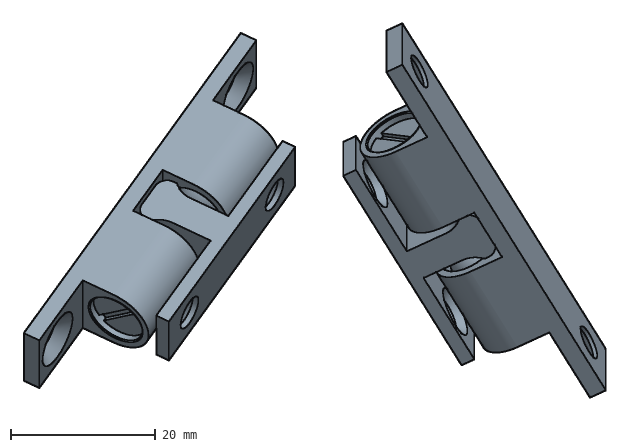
import cadquery as cq

PLATE_LENGTH = 59.8
PLATE_THICKNESS = 2.5
HEIGHT = 11.2
BARREL_RADIUS = HEIGHT / 2
BARREL_AXIS_X = 7.5
BORE_AXIS_X = 7.8
BARREL_INNER_Y = 4.05
BARREL_OUTER_Y = 17.95
BORE_CHAMFER = 0.2
HOUSING_HOLE_Y = 24.9
HOUSING_HOLE_RADIUS = 2.45
HOUSING_SINK_RADIUS = 4.1
HOUSING_SINK_DEPTH = 1.9

SHANK_RADIUS = 4.2
SHANK_RECESS = 1.15
BALL_RADIUS = 3.6
BALL_PROJECTION = 1.3
BALL_Y = BARREL_INNER_Y - BALL_PROJECTION + BALL_RADIUS
SHANK_OUTER_Y = BARREL_OUTER_Y - SHANK_RECESS
SLOT_WIDTH = 1.1
SLOT_DEPTH = 0.6
SLOT_ANGLE = 45.0

STRIKE_BACK_X = 16.0
FLANGE_THICKNESS = 2.05
FLANGE_FRONT_X = STRIKE_BACK_X - FLANGE_THICKNESS
FLANGE_LENGTH = 34.8
STRIKE_HEIGHT = 9.15
TONGUE_WIDTH = 4.9
BULB_WIDTH = 7.4
BULB_ROUNDING = 1.85
BULB_CLEARANCE = 0.1
BULB_TIP_X = PLATE_THICKNESS + BULB_CLEARANCE
GROOVE_RADIUS = 3.8
GROOVE_AXIS_X = 7.9
GROOVE_Y = TONGUE_WIDTH / 2 + GROOVE_RADIUS
STRIKE_HOLE_Y = 11.7
STRIKE_HOLE_RADIUS = 2.45
STRIKE_SINK_RADIUS = 3.6
STRIKE_SINK_DEPTH = 1.15

SIDES = (-1, 1)


def block(x_start, x_end, width, height):
    """Box between two X positions, centred on Y and Z."""
    length = x_end - x_start
    return cq.Workplane("XY").box(length, width, height).translate((x_start + length / 2, 0, 0))


def cylinder_along_y(axis_x, radius, y_start, y_end):
    """Cylinder parallel to Y at Z = 0."""
    axis_start = cq.Vector(axis_x, y_start, 0)
    return cq.Workplane(cq.Solid.makeCylinder(radius, y_end - y_start, axis_start, cq.Vector(0, 1, 0)))


def on_side(body, side):
    """Keep a body built at +Y, or mirror it to -Y."""
    return body if side > 0 else body.mirror("XZ")


def countersunk_hole(y, x_start, x_end, radius, sink_x, sink_radius, sink_depth):
    """Cutter for a hole along X with a cone that is widest at sink_x."""
    axis = cq.Vector(1, 0, 0)
    hole = cq.Solid.makeCylinder(radius, x_end - x_start, cq.Vector(x_start, y, 0), axis)
    inward = axis if sink_x == x_start else -axis
    sink = cq.Solid.makeCone(sink_radius, radius, sink_depth, cq.Vector(sink_x, y, 0), inward)
    return cq.Workplane(hole).union(cq.Workplane(sink))


def make_plunger(side):
    """Shank with a hemispherical inner end and a screwdriver slot outside."""
    shank = cylinder_along_y(BORE_AXIS_X, SHANK_RADIUS, BALL_Y, SHANK_OUTER_Y)
    ball = cq.Workplane("XY").sphere(BALL_RADIUS).translate((BORE_AXIS_X, BALL_Y, 0))
    slot = (
        cq.Workplane("XY")
        .box(2 * SHANK_RADIUS, 2 * SLOT_DEPTH, SLOT_WIDTH)
        .rotate((0, 0, 0), (0, 1, 0), -SLOT_ANGLE)
        .translate((BORE_AXIS_X, SHANK_OUTER_Y, 0))
    )
    return on_side(shank.union(ball).cut(slot), side)


def make_barrel(side):
    """Barrel with a rounded back, bored through for its plunger."""
    length = BARREL_OUTER_Y - BARREL_INNER_Y
    middle_y = BARREL_INNER_Y + length / 2
    web = block(0, BARREL_AXIS_X, length, HEIGHT).translate((0, middle_y, 0))
    barrel = web.union(cylinder_along_y(BARREL_AXIS_X, BARREL_RADIUS, BARREL_INNER_Y, BARREL_OUTER_Y))
    bore = cylinder_along_y(BORE_AXIS_X, SHANK_RADIUS, BARREL_INNER_Y, BARREL_OUTER_Y)
    chamfer = cq.Workplane(cq.Solid.makeCone(
        SHANK_RADIUS + BORE_CHAMFER,
        SHANK_RADIUS,
        BORE_CHAMFER,
        cq.Vector(BORE_AXIS_X, BARREL_OUTER_Y, 0),
        cq.Vector(0, -1, 0),
    ))
    return on_side(barrel.cut(bore).cut(chamfer), side)


def make_housing():
    """Plate with two barrels and two holes countersunk from the barrel side."""
    housing = block(0, PLATE_THICKNESS, PLATE_LENGTH, HEIGHT)
    for side in SIDES:
        housing = housing.union(make_barrel(side))
        housing = housing.cut(countersunk_hole(
            side * HOUSING_HOLE_Y, 0, PLATE_THICKNESS, HOUSING_HOLE_RADIUS,
            PLATE_THICKNESS, HOUSING_SINK_RADIUS, HOUSING_SINK_DEPTH,
        ))
    return housing


def make_strike():
    """Flange and tongue, the bulb necked by grooves that clear the balls."""
    bulb = block(BULB_TIP_X, GROOVE_AXIS_X, BULB_WIDTH, STRIKE_HEIGHT)
    bulb = bulb.edges("|Z and <X").fillet(BULB_ROUNDING)
    for side in SIDES:
        groove = (
            cq.Workplane("XY")
            .circle(GROOVE_RADIUS)
            .extrude(STRIKE_HEIGHT / 2, both=True)
            .translate((GROOVE_AXIS_X, side * GROOVE_Y, 0))
        )
        bulb = bulb.cut(groove)
    tongue = block(GROOVE_AXIS_X - BULB_ROUNDING, FLANGE_FRONT_X, TONGUE_WIDTH, STRIKE_HEIGHT)
    flange = block(FLANGE_FRONT_X, STRIKE_BACK_X, FLANGE_LENGTH, STRIKE_HEIGHT)
    strike = bulb.union(tongue).union(flange)
    for side in SIDES:
        strike = strike.cut(countersunk_hole(
            side * STRIKE_HOLE_Y, FLANGE_FRONT_X, STRIKE_BACK_X, STRIKE_HOLE_RADIUS,
            FLANGE_FRONT_X, STRIKE_SINK_RADIUS, STRIKE_SINK_DEPTH,
        ))
    return strike


housing = make_housing()
plungers = [make_plunger(side) for side in SIDES]
strike = make_strike()
result = cq.Compound.makeCompound([housing.val(), *[plunger.val() for plunger in plungers], strike.val()])